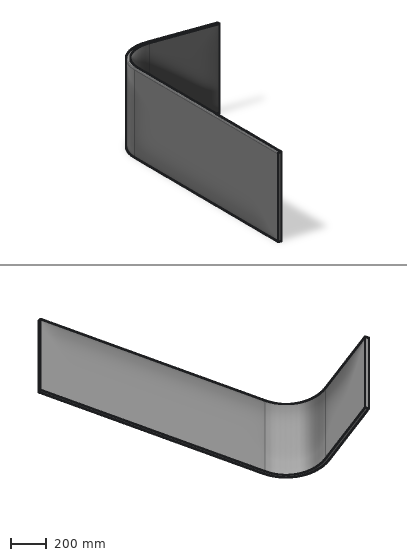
import cadquery as cq
import math

LENGTH_X = 1700.0
LENGTH_Y = 750.0
HEIGHT = 545.0

THICKNESS = 25.0
OUTER_RADIUS = 275.0
EDGE_ROUND = 5.0

ARC_MID_INSET = 1 - math.sqrt(0.5)


def make_path():
    """Outer face line of the wall: straight, quarter bend, straight."""
    bend_offset = OUTER_RADIUS * ARC_MID_INSET
    return (
        cq.Workplane("XY")
        .moveTo(0, LENGTH_Y)
        .lineTo(0, OUTER_RADIUS)
        .threePointArc((bend_offset, bend_offset), (OUTER_RADIUS, 0))
        .lineTo(LENGTH_X, 0)
    )


def make_panel():
    """Sweep the wall section, rounded along its convex-side corners, along the path."""
    corner_offset = EDGE_ROUND * ARC_MID_INSET
    section = (
        cq.Workplane("XZ", origin=(0, LENGTH_Y, 0))
        .moveTo(THICKNESS, 0)
        .lineTo(THICKNESS, HEIGHT)
        .lineTo(EDGE_ROUND, HEIGHT)
        .threePointArc((corner_offset, HEIGHT - corner_offset), (0, HEIGHT - EDGE_ROUND))
        .lineTo(0, EDGE_ROUND)
        .threePointArc((corner_offset, corner_offset), (EDGE_ROUND, 0))
        .close()
    )
    return section.sweep(make_path(), clean=False)


result = make_panel()